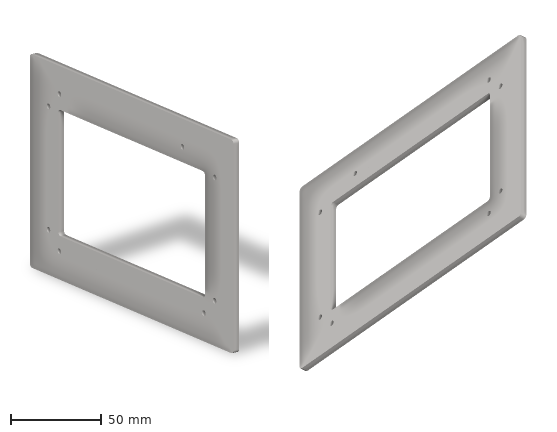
import cadquery as cq

plate_width = 190.0
plate_height = 125.0
plate_thickness = 4.0

window_width = 136.8
window_height = 74.0

corner_diameter = 4.0
corner_radius = corner_diameter / 2

hole_diameter = 3.2
side_hole_x = 77.5
side_hole_z = 36.1
outer_row_x = 67.5
outer_row_z = 46.0
upper_right_hole_x = 47.5

side_holes = [(x, z) for x in (-side_hole_x, side_hole_x) for z in (-side_hole_z, side_hole_z)]
lower_row_holes = [(-outer_row_x, -outer_row_z), (outer_row_x, -outer_row_z)]
upper_row_holes = [(-outer_row_x, outer_row_z), (upper_right_hole_x, outer_row_z)]


def rounded_slab(width, height):
    """Slab of the plate's thickness with its four through-thickness edges rounded."""
    slab = cq.Workplane("XZ").box(width, height, plate_thickness)
    return slab.edges("|Y").fillet(corner_radius)


plate = rounded_slab(plate_width, plate_height)
window = rounded_slab(window_width, window_height)
holes = (
    cq.Workplane("XZ")
    .pushPoints(side_holes + lower_row_holes + upper_row_holes)
    .circle(hole_diameter / 2)
    .extrude(plate_thickness, both=True)
)

result = plate.cut(window).cut(holes)